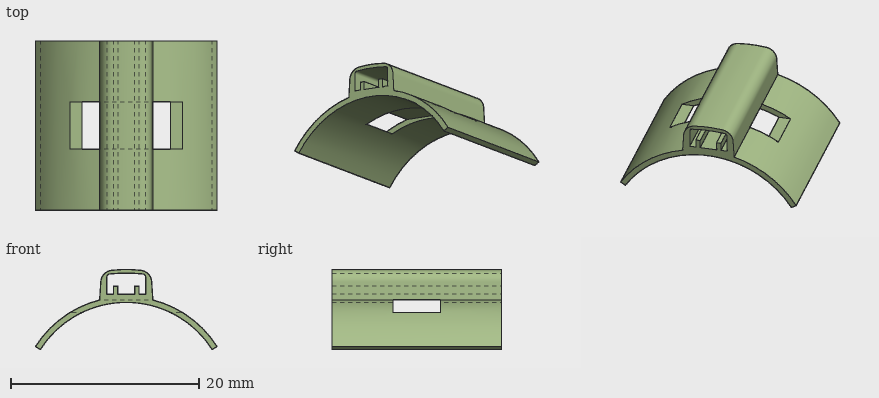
import cadquery as cq
import math

length = 18.0
width = 19.3
inner_radius = 10.8
wall = 0.62

rail_top = 8.53
rail_base_half = 2.84
shoulder_half = 2.72
shoulder_z = 7.1
crown_half = 1.39
crown_drop = 0.08

cavity_half = 2.05
cavity_floor = 5.89
cavity_side_top = 7.72
cavity_crown_half = 1.72
cavity_crown_edge = 8.03
cavity_top = 8.13
rib_width = 0.48
rib_center = 1.14
rib_top = 6.75

window_length = 5.02
window_bottom = 3.95

outer_radius = inner_radius + wall
tip_angle = math.asin(width / 2 / outer_radius)
axis_z = -inner_radius * math.cos(tip_angle)

rail_base_z = axis_z + math.sqrt(outer_radius**2 - rail_base_half**2)


def on_arc(radius, angle):
    """Point on a saddle arc, with the angle measured from vertical."""
    return (radius * math.sin(angle), axis_z + radius * math.cos(angle))


def extrude_profile(profile):
    """Extrude a closed XZ profile to the full length, centred on Y."""
    return profile.close().extrude(length / 2, both=True)


def corner_middle(start, end):
    """Middle of a quarter-ellipse corner running from a side wall up to a crown."""
    (start_x, start_z), (end_x, end_z) = start, end
    diagonal = math.sqrt(0.5)
    return (end_x + (start_x - end_x) * diagonal, start_z + (end_z - start_z) * diagonal)


def arched_profile(base, shoulder, crown_edge, top):
    """Symmetric outline: flat base, side walls, rounded corners and an arched crown."""
    def mirrored(point):
        return (-point[0], point[1])

    corner = corner_middle(shoulder, crown_edge)
    return (
        cq.Workplane("XZ")
        .moveTo(*mirrored(base))
        .lineTo(*base)
        .lineTo(*shoulder)
        .threePointArc(corner, crown_edge)
        .threePointArc((0, top), mirrored(crown_edge))
        .threePointArc(mirrored(corner), mirrored(shoulder))
    )


saddle = extrude_profile(
    cq.Workplane("XZ")
    .moveTo(*on_arc(inner_radius, -tip_angle))
    .threePointArc(on_arc(inner_radius, 0), on_arc(inner_radius, tip_angle))
    .lineTo(*on_arc(outer_radius, tip_angle))
    .threePointArc(on_arc(outer_radius, 0), on_arc(outer_radius, -tip_angle))
)

rail = extrude_profile(
    arched_profile(
        (rail_base_half, rail_base_z),
        (shoulder_half, shoulder_z),
        (crown_half, rail_top - crown_drop),
        rail_top,
    )
)

cavity = extrude_profile(
    arched_profile(
        (cavity_half, cavity_floor),
        (cavity_half, cavity_side_top),
        (cavity_crown_half, cavity_crown_edge),
        cavity_top,
    )
)

window = cq.Workplane("XY").box(
    width, window_length, rail_base_z - window_bottom, centered=(True, True, False)
).translate((0, 0, window_bottom))

result = saddle.union(rail).cut(cavity).cut(window)

rib_root = (rail_base_z + cavity_floor) / 2
for side in (-1, 1):
    rib = cq.Workplane("XY").box(
        rib_width, length, rib_top - rib_root, centered=(True, True, False)
    ).translate((side * rib_center, 0, rib_root))
    result = result.union(rib)